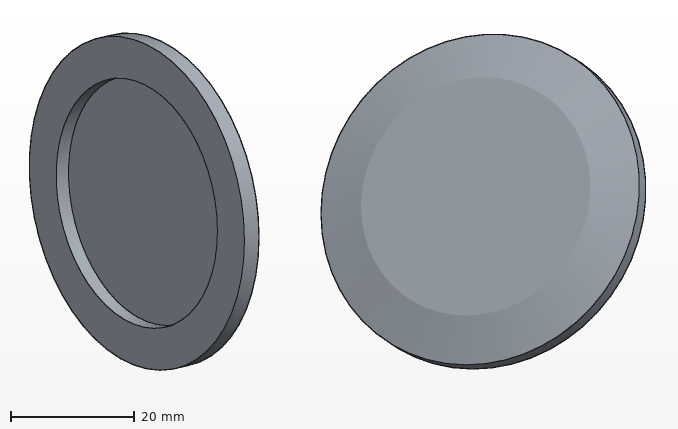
import cadquery as cq

outer_diameter = 55.0
thickness = 5.0
rim_width = 3.1
back_face_diameter = 39.6
recess_diameter = 41.2
recess_depth = 2.6

front_y = -thickness / 2
back_y = thickness / 2
rim_back_y = front_y + rim_width
outer_radius = outer_diameter / 2
back_face_radius = back_face_diameter / 2

half_section = (
    cq.Workplane("XY")
    .moveTo(0, front_y)
    .lineTo(outer_radius, front_y)
    .lineTo(outer_radius, rim_back_y)
    .lineTo(back_face_radius, back_y)
    .lineTo(0, back_y)
    .close()
)
flange = half_section.revolve(360, (0, 0, 0), (0, 1, 0))

recess = (
    cq.Workplane("XZ", origin=(0, front_y, 0))
    .circle(recess_diameter / 2)
    .extrude(-recess_depth)
)

result = flange.cut(recess)